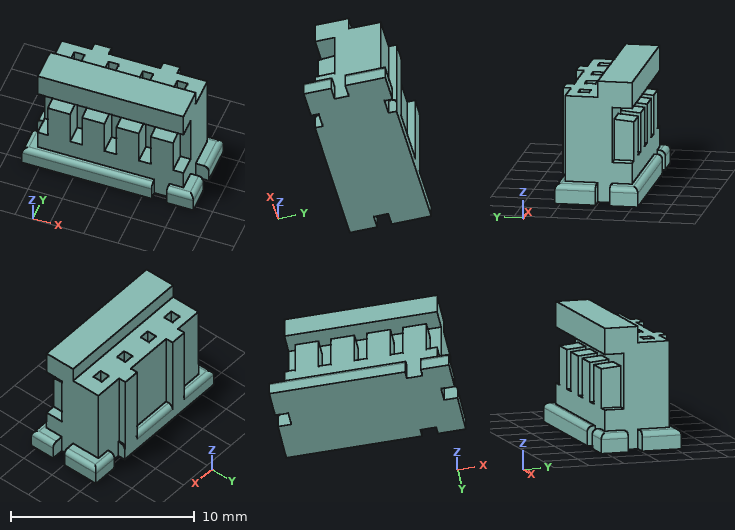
import cadquery as cq


length = 10.0
depth = 4.6
flange_height = 1.1
flange_round = 0.3

height = 6.8
end_inset = 0.75
front_inset = 0.45
back_inset = 0.45
shoulder_height = 5.9
body_length = length - 2 * end_inset
body_back = depth - back_inset

recess_back = 1.55
recess_floor = 2.27
recess_ceiling = 5.35
bar_back = 2.35

contact_count = 4
pitch = 2.0
first_contact = (length - (contact_count - 1) * pitch) / 2
contact_places = [first_contact + i * pitch for i in range(contact_count)]

tooth_width = 1.3
tooth_front_height = 4.45
tooth_back_height = 4.55

hole_size = 0.6
hole_center_y = 3.3
hole_depth = 3.0

rib_width = 1.0
rib_offset = 2.0

cross_gap_center_x = 8.0
cross_gap_width = 0.87


def block(x_range, y_range, z_range):
    """Box spanning the given (low, high) limits on each axis."""
    limits = (x_range, y_range, z_range)
    sizes = [high - low for low, high in limits]
    corner = tuple(low for low, high in limits)
    return cq.Workplane("XY").box(*sizes, centered=False).translate(corner)


def centered_range(center, width):
    """Limits of a span of the given width about its center."""
    return (center - width / 2, center + width / 2)


def extrude_side_profile(points, x_range):
    """Extrude a closed (Y, Z) outline between two X limits."""
    start, end = x_range
    return cq.Workplane("YZ", origin=(start, 0, 0)).polyline(points).close().extrude(end - start)


def make_flange():
    """Plate with rounded top edges, split by one gap along X and one along Y."""
    flange = block((0, length), (0, depth), (0, flange_height))
    flange = flange.faces(">Z").edges().fillet(flange_round)
    side_gap = block((0, length), (recess_back, bar_back), (0, flange_height))
    cross_gap = block(centered_range(cross_gap_center_x, cross_gap_width), (0, depth), (0, flange_height))
    return flange.cut(side_gap).cut(cross_gap)


def make_body():
    """Housing with a low rear shoulder and a bar overhanging the front recess."""
    outline = [
        (front_inset, 0),
        (body_back, 0),
        (body_back, shoulder_height),
        (bar_back, shoulder_height),
        (bar_back, height),
        (front_inset, height),
        (front_inset, recess_ceiling),
        (recess_back, recess_ceiling),
        (recess_back, recess_floor),
        (front_inset, recess_floor),
    ]
    return extrude_side_profile(outline, (end_inset, end_inset + body_length))


def make_tooth(center_x):
    """Tooth filling the recess depth, with a sloping top."""
    outline = [
        (front_inset, recess_floor),
        (recess_back, recess_floor),
        (recess_back, tooth_back_height),
        (front_inset, tooth_front_height),
    ]
    return extrude_side_profile(outline, centered_range(center_x, tooth_width))


def make_rib(center_x):
    """Full-height rib from the body's back face out to the flange edge."""
    return block(centered_range(center_x, rib_width), (body_back, depth), (0, shoulder_height))


def make_hole(center_x):
    """Square blind hole sunk from the shoulder."""
    return block(
        centered_range(center_x, hole_size),
        centered_range(hole_center_y, hole_size),
        (shoulder_height - hole_depth, shoulder_height),
    )


result = make_flange().union(make_body())

for rib_x in (length / 2 - rib_offset, length / 2 + rib_offset):
    result = result.union(make_rib(rib_x))

for contact_x in contact_places:
    result = result.union(make_tooth(contact_x))
    result = result.cut(make_hole(contact_x))